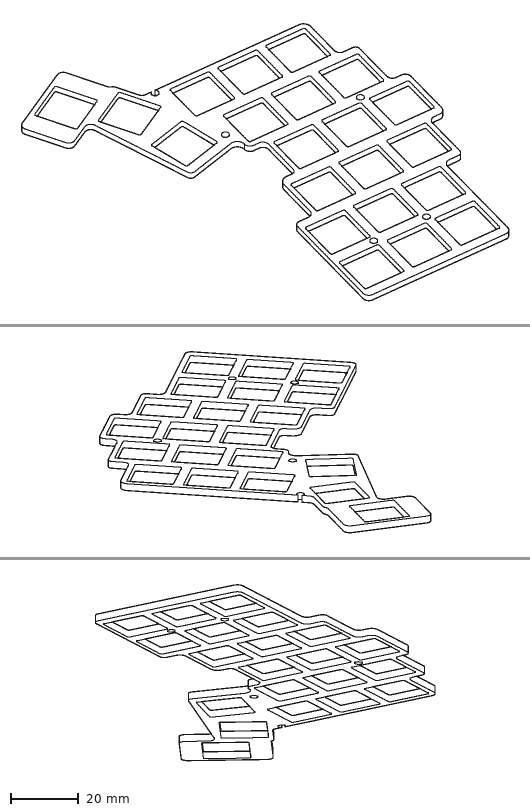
import cadquery as cq
import math

THICKNESS = 2.2

KEY_PITCH_X = 18.0
KEY_PITCH_Y = 17.0
CUTOUT_SIZE = 14.0
CUTOUT_CORNER_RADIUS = 0.5
ROWS = 3
INNER_STAGGER = 6.9
MIDDLE_STAGGER = 12.83
COLUMN_STAGGER = [0.0, INNER_STAGGER, MIDDLE_STAGGER, INNER_STAGGER, 0.0, 0.0]

FIRST_COLUMN = 0
LEFT_INNER_COLUMN = 1
MIDDLE_COLUMN = 2
RIGHT_INNER_COLUMN = 3
RIGHT_OUTER_COLUMN = 4
LAST_COLUMN = 5

ROW_MARGIN = 8.65
OUTER_TOP_MARGIN = 8.85
OUTER_BOTTOM_MARGIN = 8.5
LEFT_MARGIN = 9.1
WIDE_MARGIN = 10.2
FIRST_STEP_MARGIN = 7.95
NOTCH_LEFT_MARGIN = 9.05
NOTCH_RIGHT_MARGIN = 7.5

INNER_THUMB_CENTRE = (14.95, -16.35)
INNER_THUMB_TILT = 15.0
MIDDLE_THUMB_CENTRE = (-4.83, -22.62)
OUTER_THUMB_TILT = 30.0
OUTER_THUMB_OFFSET = (-KEY_PITCH_X, -6.0)
THUMB_TOP_MARGIN = 8.5
THUMB_BOTTOM_MARGIN = 8.6
INNER_THUMB_MARGIN = 10.3
OUTER_THUMB_HALF_WIDTH = 8.63
OUTER_THUMB_HALF_LENGTH = 13.62
THUMB_STEP_RUN = 1.15

WIDEST_RADIUS = 2.5
LARGE_RADIUS = 2.0
SMALL_RADIUS = 1.5

SCREW_DIAMETER = 2.3
EDGE_SCREW_INSET = 1.0
RIGHT_SCREW_X = 4.5 * KEY_PITCH_X
UPPER_RIGHT_SCREW_Y = 1.5 * KEY_PITCH_Y
SCREW_CENTRES = [
    (27.15, 38.0),
    (18.45, -4.15),
    (RIGHT_SCREW_X, UPPER_RIGHT_SCREW_Y),
    (RIGHT_SCREW_X, 6.75),
    (EDGE_SCREW_INSET - LEFT_MARGIN, -11.4),
]


def tilted_point(centre, tilt, along, across):
    """Point given in the axes of a key turned by `tilt` degrees about its centre."""
    cosine = math.cos(math.radians(tilt))
    sine = math.sin(math.radians(tilt))
    return (
        centre[0] + along * cosine - across * sine,
        centre[1] + along * sine + across * cosine,
    )


OUTER_THUMB_CENTRE = tilted_point(MIDDLE_THUMB_CENTRE, OUTER_THUMB_TILT, *OUTER_THUMB_OFFSET)


def inner_thumb_point(along, across):
    return tilted_point(INNER_THUMB_CENTRE, INNER_THUMB_TILT, along, across)


def middle_thumb_point(along, across):
    return tilted_point(MIDDLE_THUMB_CENTRE, OUTER_THUMB_TILT, along, across)


def outer_thumb_point(along, across):
    return tilted_point(OUTER_THUMB_CENTRE, OUTER_THUMB_TILT, along, across)


def column_x(column):
    return column * KEY_PITCH_X


def key_y(column, row):
    return COLUMN_STAGGER[column] + row * KEY_PITCH_Y


def slanted_line_x(point, tilt, y):
    """X at height `y` on the line through `point` that rises at `tilt` degrees."""
    return point[0] + (y - point[1]) / math.tan(math.radians(tilt))


def slanted_line_y(point, tilt, x):
    """Y at position `x` on the line through `point` that rises at `tilt` degrees."""
    return point[1] + (x - point[0]) * math.tan(math.radians(tilt))


def finger_corners():
    """Clockwise (point, radius) corners of the finger cluster, from its top left."""
    top_row = ROWS - 1
    left = -LEFT_MARGIN
    right = column_x(LAST_COLUMN) + WIDE_MARGIN
    outer_top = key_y(FIRST_COLUMN, top_row) + OUTER_TOP_MARGIN
    inner_top = key_y(LEFT_INNER_COLUMN, top_row) + ROW_MARGIN
    middle_top = key_y(MIDDLE_COLUMN, top_row) + ROW_MARGIN
    middle_bottom = key_y(MIDDLE_COLUMN, 0) - ROW_MARGIN
    inner_bottom = key_y(RIGHT_INNER_COLUMN, 0) - ROW_MARGIN
    outer_bottom = key_y(RIGHT_OUTER_COLUMN, 0) - OUTER_BOTTOM_MARGIN

    first_step = column_x(FIRST_COLUMN) + FIRST_STEP_MARGIN
    middle_left = column_x(MIDDLE_COLUMN) - WIDE_MARGIN
    middle_right = column_x(MIDDLE_COLUMN) + WIDE_MARGIN
    last_step = column_x(RIGHT_INNER_COLUMN) + WIDE_MARGIN
    bottom_step = column_x(RIGHT_OUTER_COLUMN) - WIDE_MARGIN
    notch_left = column_x(MIDDLE_COLUMN) - NOTCH_LEFT_MARGIN
    notch_right = column_x(MIDDLE_COLUMN) + NOTCH_RIGHT_MARGIN
    return [
        ((left, outer_top), WIDEST_RADIUS),
        ((first_step, outer_top), LARGE_RADIUS),
        ((first_step, inner_top), SMALL_RADIUS),
        ((middle_left, inner_top), LARGE_RADIUS),
        ((middle_left, middle_top), LARGE_RADIUS),
        ((middle_right, middle_top), LARGE_RADIUS),
        ((middle_right, inner_top), LARGE_RADIUS),
        ((last_step, inner_top), SMALL_RADIUS),
        ((last_step, outer_top), LARGE_RADIUS),
        ((right, outer_top), LARGE_RADIUS),
        ((right, outer_bottom), LARGE_RADIUS),
        ((bottom_step, outer_bottom), SMALL_RADIUS),
        ((bottom_step, inner_bottom), LARGE_RADIUS),
        ((notch_right, inner_bottom), WIDEST_RADIUS),
        ((notch_right, middle_bottom), SMALL_RADIUS),
        ((notch_left, middle_bottom), LARGE_RADIUS),
        ((notch_left, inner_bottom), LARGE_RADIUS),
    ]


def thumb_corners():
    """Clockwise (point, radius) corners of the thumb cluster, from the finger cluster's lower edge."""
    half_width = OUTER_THUMB_HALF_WIDTH
    half_length = OUTER_THUMB_HALF_LENGTH
    junction_y = key_y(LEFT_INNER_COLUMN, 0) - ROW_MARGIN
    inner_corner = inner_thumb_point(INNER_THUMB_MARGIN, -THUMB_BOTTOM_MARGIN)
    junction_x = slanted_line_x(inner_corner, INNER_THUMB_TILT + 90, junction_y)
    thumb_boundary = half_width - KEY_PITCH_X
    top_step = middle_thumb_point(thumb_boundary, THUMB_TOP_MARGIN)
    left_y = slanted_line_y(top_step, OUTER_THUMB_TILT, -LEFT_MARGIN)
    return [
        ((junction_x, junction_y), WIDEST_RADIUS),
        (inner_corner, SMALL_RADIUS),
        (middle_thumb_point(thumb_boundary, -THUMB_BOTTOM_MARGIN), LARGE_RADIUS),
        (outer_thumb_point(half_width, -half_length), LARGE_RADIUS),
        (outer_thumb_point(-half_width, -half_length), LARGE_RADIUS),
        (outer_thumb_point(-half_width, half_length), LARGE_RADIUS),
        (outer_thumb_point(half_width - THUMB_STEP_RUN, half_length), LARGE_RADIUS),
        (top_step, LARGE_RADIUS),
        ((-LEFT_MARGIN, left_y), LARGE_RADIUS),
    ]


def rounded_corner(before, corner, after, radius):
    """Start, middle and end of the arc that rounds `corner` between its two neighbours."""
    here = cq.Vector(*corner)
    to_before = (cq.Vector(*before) - here).normalized()
    to_after = (cq.Vector(*after) - here).normalized()
    half_angle = to_before.getAngle(to_after) / 2
    tangent_length = radius / math.tan(half_angle)
    middle_distance = radius / math.sin(half_angle) - radius
    bisector = (to_before + to_after).normalized()
    return (
        here + to_before * tangent_length,
        here + bisector * middle_distance,
        here + to_after * tangent_length,
    )


def plate_blank():
    corners = finger_corners() + thumb_corners()
    points = [point for point, _ in corners]
    count = len(corners)
    arcs = []
    for index, (point, radius) in enumerate(corners):
        arcs.append(rounded_corner(points[index - 1], point, points[(index + 1) % count], radius))
    last_end = arcs[-1][-1]
    outline = cq.Workplane("XY").moveTo(last_end.x, last_end.y)
    for start, middle, end in arcs:
        outline = outline.lineTo(start.x, start.y)
        outline = outline.threePointArc(middle.toTuple()[:2], end.toTuple()[:2])
    return outline.close().extrude(THICKNESS)


def key_cutout(centre, tilt=0.0):
    cutout = cq.Workplane("XY").rect(CUTOUT_SIZE, CUTOUT_SIZE).extrude(THICKNESS)
    cutout = cutout.edges("|Z").fillet(CUTOUT_CORNER_RADIUS)
    return cutout.rotate((0, 0, 0), (0, 0, 1), tilt).translate((centre[0], centre[1], 0))


def cut_keys(plate):
    for column in range(len(COLUMN_STAGGER)):
        for row in range(ROWS):
            plate = plate.cut(key_cutout((column_x(column), key_y(column, row))))
    plate = plate.cut(key_cutout(INNER_THUMB_CENTRE, INNER_THUMB_TILT))
    plate = plate.cut(key_cutout(MIDDLE_THUMB_CENTRE, OUTER_THUMB_TILT))
    return plate.cut(key_cutout(OUTER_THUMB_CENTRE, OUTER_THUMB_TILT))


def cut_screw_holes(plate):
    """Through holes; the last one breaks out of the left edge."""
    holes = cq.Workplane("XY").pushPoints(SCREW_CENTRES).circle(SCREW_DIAMETER / 2).extrude(THICKNESS)
    return plate.cut(holes)


result = cut_screw_holes(cut_keys(plate_blank()))